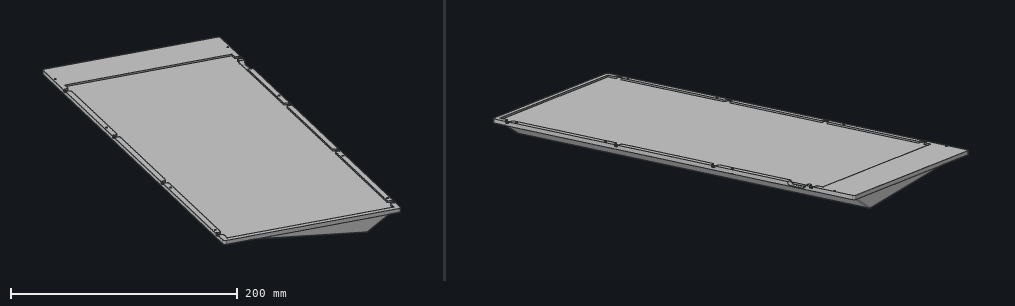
import cadquery as cq

length = 396.0
width = 171.5
height = 20.0
plate_thickness = 4.0
plate_corner_radius = 2.5

tray_depth = 1.5
tray_floor = plate_thickness - tray_depth
tray_left = -159.5
tray_right = 193.0
tray_half_width = 80.5

notch_width = 5.0
notch_mouth_radius = 1.0
outer_wall = 1.0
front_notch_centers = [-149.2, -43.0, 63.0, 182.0]
back_notch_centers = [-150.5] + front_notch_centers[1:]

window_width = 2.8
window_height = 0.8

hole_diameter = 1.62
hole_offset = 83.0
hole_centers = [-174.5, -63.0, 76.0, 173.5]

channel_left = -144.0
channel_right = -124.7
channel_depth = 3.0

foot_inset = 5.0
foot_front_y = -76.0
foot_back_y = 80.8
foot_drop = height - plate_thickness
foot_ridge_y = 55.0
foot_edge_radius = 0.8


def block(x_min, x_max, y_min, y_max, z_min, z_max):
    size = (x_max - x_min, y_max - y_min, z_max - z_min)
    return cq.Workplane("XY").box(*size, centered=False).translate((x_min, y_min, z_min))


def make_plate():
    plate = cq.Workplane("XY").box(length, width, plate_thickness, centered=(True, True, False))
    return plate.edges("|Z").fillet(plate_corner_radius)


def make_foot():
    """Triangular prism whose sloping edges are rounded at both ends."""
    half_length = length / 2 - foot_inset
    profile = [(foot_front_y, 0), (foot_ridge_y, -foot_drop), (foot_back_y, 0)]
    foot = cq.Workplane("YZ", origin=(-half_length, 0, 0)).polyline(profile).close()
    foot = foot.extrude(2 * half_length)
    return foot.faces("<X or >X").edges("not |Y").fillet(foot_edge_radius)


def make_notch(center_x, side):
    """Notch with its window; side is 1 for the back rim and -1 for the front rim."""
    reach = width / 2 - outer_wall
    notch = cq.Workplane("XY", origin=(center_x, side * reach / 2, tray_floor))
    notch = notch.rect(notch_width, reach).extrude(tray_depth)
    window = cq.Workplane("XY", origin=(center_x, side * width / 4, tray_floor))
    window = window.rect(window_width, width / 2).extrude(window_height)
    return notch.union(window)


def make_tray():
    tray = block(tray_left, tray_right, -tray_half_width, tray_half_width, tray_floor, plate_thickness)
    for center_x in front_notch_centers:
        tray = tray.union(make_notch(center_x, -1))
    for center_x in back_notch_centers:
        tray = tray.union(make_notch(center_x, 1))
    inner_left = tray_left + notch_mouth_radius
    inner_right = tray_right - notch_mouth_radius
    mouth_y = tray_half_width + notch_mouth_radius
    mouths = cq.selectors.BoxSelector((inner_left, -mouth_y, 0), (inner_right, mouth_y, height))
    return tray.edges("|Z").edges(mouths).fillet(notch_mouth_radius)


def make_holes():
    points = [(x, side * hole_offset) for x in hole_centers for side in (-1, 1)]
    return cq.Workplane("XY").pushPoints(points).circle(hole_diameter / 2).extrude(plate_thickness)


def make_channel():
    """Each bottom corner is a quarter circle as tall as the channel is deep."""
    floor = plate_thickness - channel_depth
    channel = cq.Workplane("XZ", origin=(0, tray_half_width, 0))
    channel = channel.moveTo(channel_left, plate_thickness)
    channel = channel.radiusArc((channel_left + channel_depth, floor), -channel_depth)
    channel = channel.lineTo(channel_right - channel_depth, floor)
    channel = channel.radiusArc((channel_right, plate_thickness), -channel_depth)
    return channel.close().extrude(tray_half_width - width / 2)


result = make_plate().union(make_foot())
result = result.cut(make_tray()).cut(make_holes()).cut(make_channel())